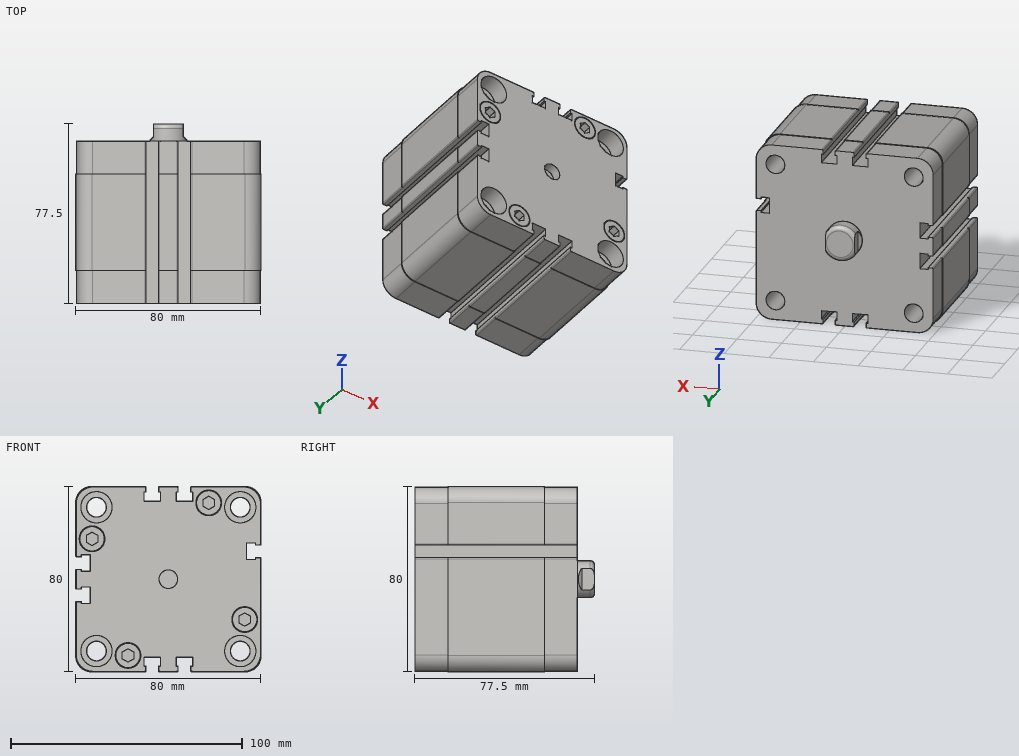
import cadquery as cq
import math

BODY_SIDE = 80.0
CAP_STEP = 0.3
CAP_SIDE = BODY_SIDE - 2 * CAP_STEP
HOUSING_LENGTH = 70.0
CAP_LENGTH = 14.25
BARREL_LENGTH = HOUSING_LENGTH - 2 * CAP_LENGTH
CORNER_RADIUS = 7.0

SLOT_MOUTH = 5.4
SLOT_WIDTH = 7.0
SLOT_DEPTH = 6.3
SLOT_LIP = 2.5
SLOT_MOUTH_ROUND = 0.5
SLOT_OFFSET = 6.95
LONE_SLOT_OFFSET = 12.0

MOUNT_OFFSET = 31.0
MOUNT_BORE = 8.38
MOUNT_COUNTERBORE = 13.5
MOUNT_COUNTERBORE_DEPTH = 8.5

SCREW_ALONG = 17.4
SCREW_OUT = 32.9
SCREW_RECESS = 11.1
SCREW_HEAD = 10.5
SCREW_GAP_DEPTH = 6.0
SCREW_HEX_FLATS = 5.0
SCREW_HEX_DEPTH = 4.0

CENTRE_HOLE = 8.0
CENTRE_HOLE_DEPTH = 4.5

ROD_DIAMETER = 16.0
ROD_LENGTH = 7.5
ROD_FLATS = 13.0
ROD_FLAT_LENGTH = 5.6
ROD_TIP_RADIUS = 2.0


def plane_at(y):
    """Workplane across the Y axis whose local x and y are the part's X and Z."""
    return cq.Workplane("XZ", origin=(0, y, 0))


def along_y(sketch, length):
    """Extrude a sketch towards +Y."""
    return sketch.extrude(-length)


def slot(offset, turn, side, y, length):
    """Undercut slot in the top side at x = offset, turned about Y by the given angle."""
    surface = side / 2
    floor = BODY_SIDE / 2 - SLOT_DEPTH
    shoulder = BODY_SIDE / 2 - SLOT_LIP
    half_width = SLOT_WIDTH / 2
    half_mouth = SLOT_MOUTH / 2
    round_start = surface - SLOT_MOUTH_ROUND
    half_opening = half_mouth + SLOT_MOUTH_ROUND
    round_reach = SLOT_MOUTH_ROUND * math.sin(math.pi / 4)
    round_mid_x = half_opening - round_reach
    round_mid_z = round_start + round_reach
    outline = (
        plane_at(y)
        .center(offset, 0)
        .moveTo(-half_width, floor)
        .lineTo(half_width, floor)
        .lineTo(half_width, shoulder)
        .lineTo(half_mouth, shoulder)
        .lineTo(half_mouth, round_start)
        .threePointArc((round_mid_x, round_mid_z), (half_opening, surface))
        .lineTo(-half_opening, surface)
        .threePointArc((-round_mid_x, round_mid_z), (-half_mouth, round_start))
        .lineTo(-half_mouth, shoulder)
        .lineTo(-half_width, shoulder)
        .close()
    )
    return along_y(outline, length).rotate((0, 0, 0), (0, 1, 0), turn)


def slotted_block(side, y, length):
    """Length of housing with rounded corners and slots on all four sides."""
    block = along_y(plane_at(y).rect(side, side), length)
    block = block.edges("|Y").fillet(CORNER_RADIUS)
    for turn in (0, 180, -90):
        for offset in (-SLOT_OFFSET, SLOT_OFFSET):
            block = block.cut(slot(offset, turn, side, y, length))
    return block.cut(slot(-LONE_SLOT_OFFSET, 90, side, y, length))


def housing():
    """Barrel with an end cap at each end."""
    front_cap = slotted_block(CAP_SIDE, 0, CAP_LENGTH)
    barrel = slotted_block(BODY_SIDE, CAP_LENGTH, BARREL_LENGTH)
    rear_cap = slotted_block(CAP_SIDE, CAP_LENGTH + BARREL_LENGTH, CAP_LENGTH)
    return barrel.union(front_cap).union(rear_cap)


def cut_mounting_holes(part):
    corners = [
        (x, z)
        for x in (-MOUNT_OFFSET, MOUNT_OFFSET)
        for z in (-MOUNT_OFFSET, MOUNT_OFFSET)
    ]
    centres = plane_at(0).pushPoints(corners)
    part = part.cut(along_y(centres.circle(MOUNT_BORE / 2), HOUSING_LENGTH))
    return part.cut(along_y(centres.circle(MOUNT_COUNTERBORE / 2), MOUNT_COUNTERBORE_DEPTH))


def cut_screws(part):
    """Ring gap around each screw head and the hexagon socket inside it."""
    hex_turn = 30
    hex_across_corners = SCREW_HEX_FLATS / math.cos(math.pi / 6)
    spots = [
        (SCREW_ALONG, SCREW_OUT),
        (SCREW_OUT, -SCREW_ALONG),
        (-SCREW_ALONG, -SCREW_OUT),
        (-SCREW_OUT, SCREW_ALONG),
    ]
    for x, z in spots:
        centre = plane_at(0).center(x, z)
        gap = along_y(centre.circle(SCREW_RECESS / 2).circle(SCREW_HEAD / 2), SCREW_GAP_DEPTH)
        socket = along_y(centre.polygon(6, hex_across_corners), SCREW_HEX_DEPTH)
        socket = socket.rotate((x, 0, z), (x, 1, z), hex_turn)
        part = part.cut(gap).cut(socket)
    return part


def cut_centre_hole(part):
    return part.cut(along_y(plane_at(0).circle(CENTRE_HOLE / 2), CENTRE_HOLE_DEPTH))


def rod_end():
    """Rod stub with a rounded tip, whose wrench flats run out at 45 degrees to the full diameter."""
    radius = ROD_DIAMETER / 2
    tip = HOUSING_LENGTH + ROD_LENGTH
    rod = along_y(plane_at(HOUSING_LENGTH).circle(radius), ROD_LENGTH)
    rod = rod.faces(">Y").edges().fillet(ROD_TIP_RADIUS)
    half_flats = ROD_FLATS / 2
    flat_end = tip - ROD_FLAT_LENGTH
    runout = radius - half_flats
    flat_outline = [
        (half_flats, tip),
        (half_flats, flat_end),
        (radius, flat_end - runout),
        (radius, tip),
    ]
    flat = cq.Workplane("XY").polyline(flat_outline).close().extrude(radius, both=True)
    return rod.cut(flat).cut(flat.mirror("YZ"))


def build():
    part = housing()
    part = cut_mounting_holes(part)
    part = cut_screws(part)
    part = cut_centre_hole(part)
    return part.union(rod_end())


result = build()